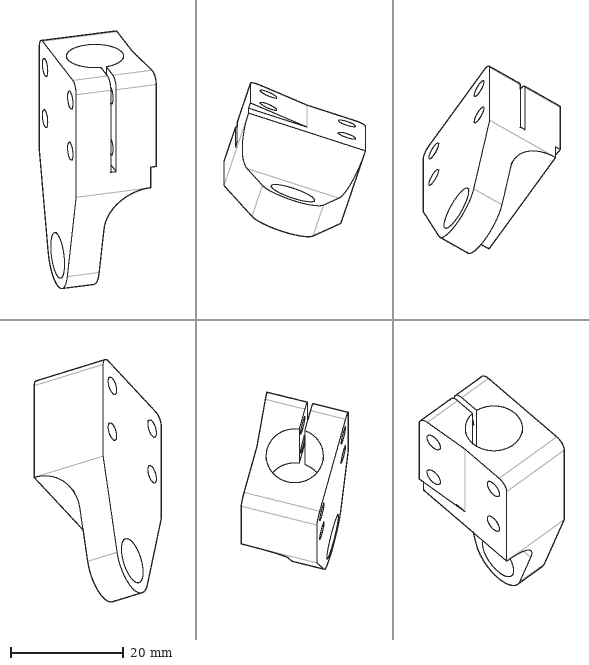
import cadquery as cq
import math

width = 22.0
height = 44.0
body_depth = 14.0
ear_depth = 15.0
body_height = 22.0
ear_height = 18.0
plate_thickness = 6.0
underside_radius = body_depth - plate_thickness
corner_radius = 2.0

pivot_radius = 6.0
pivot_bore_diameter = 8.2
pivot_z = pivot_radius - height

bore_diameter = 10.2
bore_y = 7.0
bore_depth = ear_height
slit_width = 1.0

screw_diameter = 3.2
screw_spacing_x = 15.0
screw_spacing_z = 10.0
screw_top_offset = 4.5

half_width = width / 2


def tangent_point(side):
    """Point where the line from a lower block corner meets the pivot arc."""
    rise = -body_height - pivot_z
    distance = math.hypot(half_width, rise)
    angle = math.atan2(rise, half_width) - math.acos(pivot_radius / distance)
    return side * pivot_radius * math.cos(angle), pivot_z + pivot_radius * math.sin(angle)


def make_outline():
    """Front silhouette, extruded from the front face towards +Y."""
    return (
        cq.Workplane("XZ")
        .moveTo(-half_width, 0)
        .lineTo(half_width, 0)
        .lineTo(half_width, -body_height)
        .lineTo(*tangent_point(1))
        .threePointArc((0, -height), tangent_point(-1))
        .lineTo(-half_width, -body_height)
        .close()
        .extrude(-ear_depth)
        .edges("|Y and >Z")
        .fillet(corner_radius)
    )


def make_side_profile():
    """Thick block, concave underside and thin pivot plate, seen along X."""
    return (
        cq.Workplane("YZ")
        .moveTo(0, 0)
        .lineTo(body_depth, 0)
        .lineTo(body_depth, -body_height)
        .radiusArc((plate_thickness, -body_height - underside_radius), -underside_radius)
        .lineTo(plate_thickness, -height)
        .lineTo(0, -height)
        .close()
        .extrude(half_width, both=True)
    )


def make_ear_wedge():
    """Wedge thickening the back towards the slit side."""
    return (
        cq.Workplane("XY")
        .polyline([(0, 0), (half_width, 0), (half_width, ear_depth), (0, body_depth)])
        .close()
        .extrude(-ear_height)
    )


def through_y(points, diameter):
    """Cylinders along Y through the full thickness at (x, z) points."""
    return cq.Workplane("XZ").pushPoints(points).circle(diameter / 2).extrude(-ear_depth)


screw_points = [
    (side * screw_spacing_x / 2, -screw_top_offset - row * screw_spacing_z)
    for side in (-1, 1)
    for row in (0, 1)
]
clamp_bore = cq.Workplane("XY").center(0, bore_y).circle(bore_diameter / 2).extrude(-bore_depth)
clamp_slit = (
    cq.Workplane("XY")
    .center(half_width / 2, bore_y)
    .rect(half_width, slit_width)
    .extrude(-bore_depth)
)

result = (
    make_side_profile()
    .union(make_ear_wedge())
    .intersect(make_outline())
    .cut(clamp_bore)
    .cut(clamp_slit)
    .cut(through_y(screw_points, screw_diameter))
    .cut(through_y([(0, pivot_z)], pivot_bore_diameter))
)